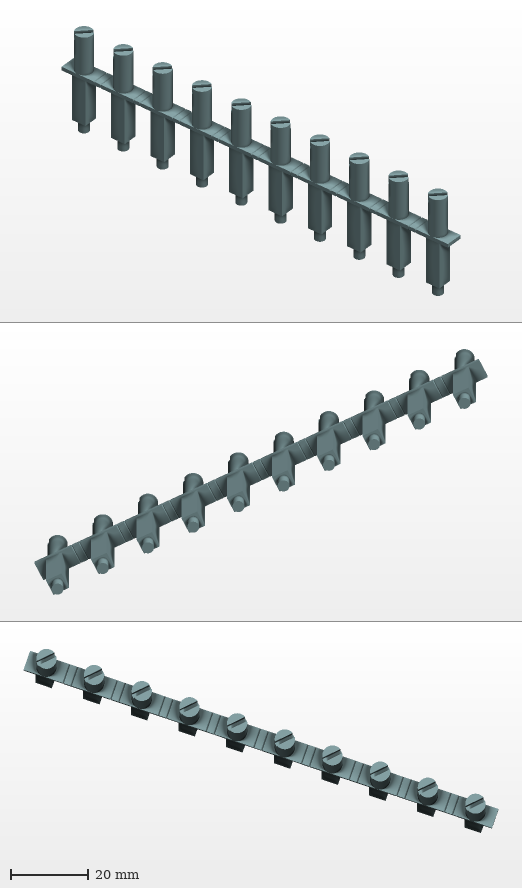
import cadquery as cq

screw_count = 10
bar_length = 127.8
bar_width = 5.2
bar_thickness = 1.2
end_margin = 5.4
pitch = (bar_length - 2 * end_margin) / (screw_count - 1)

head_diameter = 5.2
head_height = 11.9
slot_width = 1.2
slot_depth = 2.0
slot_angle = 45.0
shank_width = 4.5
shank_height = 14.5
tip_diameter = 3.1
tip_height = 3.5

groove_spacing = 2.2
groove_width = 0.4
groove_depth = 0.4

bar_bottom = -bar_thickness
shank_bottom = bar_bottom - shank_height
screw_positions = [(i - (screw_count - 1) / 2) * pitch for i in range(screw_count)]


def make_groove(x, face_z, tip_z):
    """V-shaped cutter across the bar, open at face_z and pointed at tip_z."""
    return (
        cq.Workplane("XZ")
        .moveTo(x - groove_width / 2, face_z)
        .lineTo(x + groove_width / 2, face_z)
        .lineTo(x, tip_z)
        .close()
        .extrude(bar_width / 2, both=True)
    )


def make_bar():
    """Flat bar with pairs of break-off lines between the screws."""
    bar = (
        cq.Workplane("XY")
        .workplane(offset=bar_bottom)
        .rect(bar_length, bar_width)
        .extrude(bar_thickness)
    )
    for screw_x in screw_positions[:-1]:
        middle = screw_x + pitch / 2
        for x in (middle - groove_spacing / 2, middle + groove_spacing / 2):
            bar = bar.cut(make_groove(x, 0, -groove_depth))
            bar = bar.cut(make_groove(x, bar_bottom, bar_bottom + groove_depth))
    return bar


def make_screw():
    """One screw on the Z axis, from the slotted head down to the round tip."""
    head = cq.Workplane("XY").circle(head_diameter / 2).extrude(head_height)
    slot = (
        cq.Workplane("XY")
        .workplane(offset=head_height)
        .transformed(rotate=(0, 0, slot_angle))
        .rect(2 * head_diameter, slot_width)
        .extrude(-slot_depth)
    )
    shank = cq.Workplane("XY").rect(shank_width, shank_width).extrude(shank_bottom)
    tip = (
        cq.Workplane("XY")
        .workplane(offset=shank_bottom)
        .circle(tip_diameter / 2)
        .extrude(-tip_height)
    )
    return head.cut(slot).union(shank).union(tip)


result = make_bar()
screw = make_screw()
for screw_x in screw_positions:
    result = result.union(screw.translate((screw_x, 0, 0)))